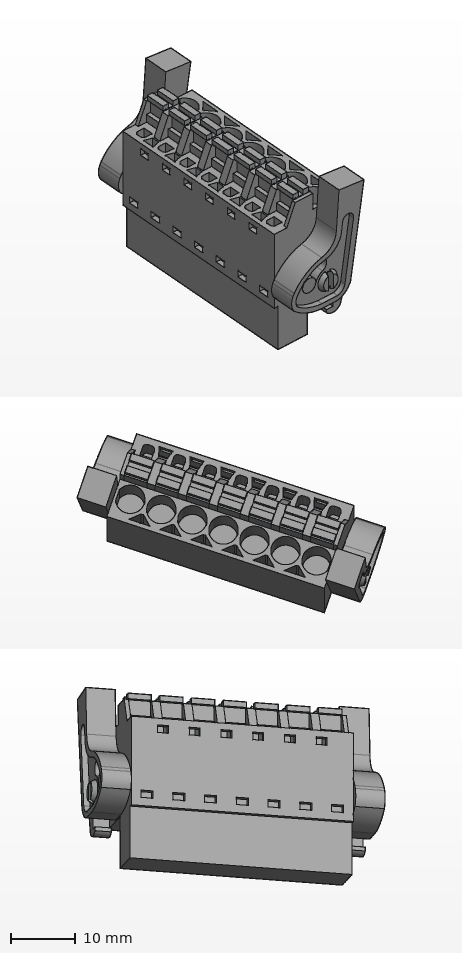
import cadquery as cq
import math


OVERALL_LENGTH = 45.4
POLES = 7
PITCH = 5.1
LEVER_WIDTH = 4.7

HOUSING_LENGTH = POLES * PITCH
HOUSING_END = HOUSING_LENGTH / 2
FRONT_Y = -14.25
HOUSING_BOTTOM = 8.35
REAR_DECK_Z = 23.6
FRONT_DECK_Z = 22.65
RIB_TOP_Z = 26.7
RIB_BACK_Y = -6.3
RIB_CREST_Y = -9.95
RIB_FOOT_Y = -11.65
PLUG_BACK_Y = -7.45
PLUG_FRONT_Y = -13.5

OPENING_DEPTH = 5.45
ROUND_HOLE_RADIUS = 2.25
ROUND_HOLE_Y = -3.75
END_WALL = 0.45
WIRE_WIDTH = 1.9
WIRE_BACK_Y = -11.25
WIRE_FRONT_Y = -13.15
WIRE_CORNER_RADIUS = 0.65

REAR_TAPER_BACK = (-0.7, 1.72)
REAR_TAPER_FRONT = (-2.1, 0.2)
FRONT_TAPER_BACK = (-11.95, 0.7)
FRONT_TAPER_FRONT = (-13.45, 1.15)

LOWER_WINDOW_DEPTH = 0.9
UPPER_WINDOW_DEPTH = 1.15
UPPER_WINDOW_SIZE = (1.72, 1.23)
UPPER_WINDOW_Z = 20.95
LOWER_WINDOW_SIZE = (1.9, 1.2)
LOWER_WINDOW_Z = 10.25

BUTTON_WIDTH = 3.7
BUTTON_TOP_Z = 26.8
PRONG_TOP_Z = 27.73
PRONG_DEPTH = 1.15
PRONG_BACK_YS = (-6.6, -8.65)
LEDGE_Z = 24.15
LEDGE_DEPTH = 0.75

LEVER_INNER_X = OVERALL_LENGTH / 2 - LEVER_WIDTH
LEVER_OUTER_X = OVERALL_LENGTH / 2
POCKET_DEPTH = 1.0
PIVOT_Y = -6.7
PIVOT_Z = 12.3
PIVOT_RADIUS = 1.55
STUD_HEAD_RADIUS = 1.95
STUD_TIP_RADIUS = 1.5
STUD_HEAD_HEIGHT = 0.8
SCREW_SLOT_WIDTH = 1.0
SCREW_SLOT_DEPTH = 1.35
GUIDE_PIN_Y = -10.5
GUIDE_PIN_Z = 13.1
GUIDE_PIN_RADIUS = 1.35
GUIDE_PIN_TIP_X = LEVER_OUTER_X - POCKET_DEPTH
GUIDE_SLOT_SWEEP = 54.0
HOOK_WIDTH = 2.65
HOOK_INNER_X = 19.0

POLE_XS = [(i - (POLES - 1) / 2) * PITCH for i in range(POLES)]
GAP_XS = [x + PITCH / 2 for x in POLE_XS[:-1]]


def box(x_range, y_range, z_range):
    """Box spanning the given low and high values along each axis."""
    (x0, x1), (y0, y1), (z0, z1) = x_range, y_range, z_range
    return cq.Workplane("XY").box(x1 - x0, y1 - y0, z1 - z0, centered=False).translate((x0, y0, z0))


def side_sketch(x):
    """Workplane across X whose local axes are global Y and Z."""
    return cq.Workplane("YZ", origin=(x, 0, 0))


def make_button(x):
    half = BUTTON_WIDTH / 2
    profile = [
        (RIB_BACK_Y, FRONT_DECK_Z),
        (RIB_BACK_Y, BUTTON_TOP_Z),
        (RIB_CREST_Y + LEDGE_DEPTH, BUTTON_TOP_Z),
        (RIB_CREST_Y + LEDGE_DEPTH, LEDGE_Z),
        (RIB_CREST_Y, LEDGE_Z),
        (RIB_CREST_Y, FRONT_DECK_Z),
    ]
    button = side_sketch(x - half).polyline(profile).close().extrude(BUTTON_WIDTH)
    for back in PRONG_BACK_YS:
        prong = box((x - half, x + half), (back - PRONG_DEPTH, back), (BUTTON_TOP_Z, PRONG_TOP_Z))
        button = button.union(prong)
    return button


def housing_shell():
    """Stepped body with a full-length rib block on top and the plug block below."""
    profile = [
        (0, HOUSING_BOTTOM),
        (0, REAR_DECK_Z),
        (RIB_BACK_Y, REAR_DECK_Z),
        (RIB_BACK_Y, RIB_TOP_Z),
        (RIB_CREST_Y, RIB_TOP_Z),
        (RIB_FOOT_Y, FRONT_DECK_Z),
        (FRONT_Y, FRONT_DECK_Z),
        (FRONT_Y, HOUSING_BOTTOM),
    ]
    shell = side_sketch(-HOUSING_END).polyline(profile).close().extrude(HOUSING_LENGTH)
    plug = box((-HOUSING_END, HOUSING_END), (PLUG_FRONT_Y, PLUG_BACK_Y), (0, HOUSING_BOTTOM))
    return shell.union(plug)


def button_slot(x):
    """Gap between neighbouring ribs, down to the front deck, that holds one button."""
    half = BUTTON_WIDTH / 2
    return box((x - half, x + half), (RIB_FOOT_Y, RIB_BACK_Y), (FRONT_DECK_Z, RIB_TOP_Z))


def round_hole(x):
    """Round opening, flattened where it would break into the end wall."""
    floor = REAR_DECK_Z - OPENING_DEPTH
    hole = (
        cq.Workplane("XY", origin=(x, ROUND_HOLE_Y, floor))
        .circle(ROUND_HOLE_RADIUS)
        .extrude(OPENING_DEPTH)
    )
    limit = HOUSING_END - END_WALL
    return hole.intersect(box((-limit, limit), (FRONT_Y, 0), (floor, REAR_DECK_Z)))


def wire_entry(x):
    """Square opening with its two front corners rounded."""
    half = WIRE_WIDTH / 2
    opening = box(
        (x - half, x + half),
        (WIRE_FRONT_Y, WIRE_BACK_Y),
        (FRONT_DECK_Z - OPENING_DEPTH, FRONT_DECK_Z),
    )
    return opening.edges("|Z and <Y").fillet(WIRE_CORNER_RADIUS)


def tapered_opening(x, top_z, back, front):
    """Opening whose plan is a symmetric trapezoid."""
    back_y, back_half = back
    front_y, front_half = front
    outline = [(-back_half, back_y), (back_half, back_y), (front_half, front_y), (-front_half, front_y)]
    return (
        cq.Workplane("XY", origin=(x, 0, top_z - OPENING_DEPTH))
        .polyline(outline)
        .close()
        .extrude(OPENING_DEPTH)
    )


def window(x, z, size, depth):
    width, height = size
    return box(
        (x - width / 2, x + width / 2),
        (FRONT_Y, FRONT_Y + depth),
        (z - height / 2, z + height / 2),
    )


def pivot_stud():
    """Bearing stud whose tapered, slotted head rests on the pocket floor of the +X lever."""
    head_x = LEVER_OUTER_X - POCKET_DEPTH
    tip_x = head_x + STUD_HEAD_HEIGHT
    shaft = (
        side_sketch(HOUSING_END)
        .center(PIVOT_Y, PIVOT_Z)
        .circle(PIVOT_RADIUS)
        .extrude(head_x - HOUSING_END)
    )
    head = (
        side_sketch(head_x)
        .center(PIVOT_Y, PIVOT_Z)
        .circle(STUD_HEAD_RADIUS)
        .workplane(offset=STUD_HEAD_HEIGHT)
        .circle(STUD_TIP_RADIUS)
        .loft()
    )
    slot = box(
        (tip_x - SCREW_SLOT_DEPTH, tip_x),
        (PIVOT_Y - SCREW_SLOT_WIDTH / 2, PIVOT_Y + SCREW_SLOT_WIDTH / 2),
        (PIVOT_Z - STUD_HEAD_RADIUS, PIVOT_Z + STUD_HEAD_RADIUS),
    )
    return shaft.union(head).cut(slot)


def guide_pin():
    """Pin that runs in the curved slot of the lever, on the +X end."""
    return (
        side_sketch(HOUSING_END)
        .center(GUIDE_PIN_Y, GUIDE_PIN_Z)
        .circle(GUIDE_PIN_RADIUS)
        .extrude(GUIDE_PIN_TIP_X - HOUSING_END)
    )


def rear_latch():
    """Barbed arm hanging from the housing bottom behind the plug block."""
    return (
        side_sketch(-HOOK_WIDTH / 2)
        .moveTo(-4.55, HOUSING_BOTTOM)
        .lineTo(-6.3, HOUSING_BOTTOM)
        .lineTo(-5.75, 6.65)
        .lineTo(-5.85, 5.35)
        .lineTo(-6.3, 4.75)
        .lineTo(-5.9, 3.85)
        .lineTo(-5.1, 4.75)
        .lineTo(-4.7, 5.6)
        .close()
        .extrude(HOOK_WIDTH)
    )


def make_housing():
    housing = housing_shell()
    for x in POLE_XS:
        housing = housing.cut(button_slot(x)).cut(round_hole(x)).cut(wire_entry(x))
        housing = housing.cut(window(x, LOWER_WINDOW_Z, LOWER_WINDOW_SIZE, LOWER_WINDOW_DEPTH))
    for x in GAP_XS:
        housing = housing.cut(tapered_opening(x, REAR_DECK_Z, REAR_TAPER_BACK, REAR_TAPER_FRONT))
        housing = housing.cut(tapered_opening(x, FRONT_DECK_Z, FRONT_TAPER_BACK, FRONT_TAPER_FRONT))
        housing = housing.cut(window(x, UPPER_WINDOW_Z, UPPER_WINDOW_SIZE, UPPER_WINDOW_DEPTH))
    for bearing in (pivot_stud(), guide_pin()):
        housing = housing.union(bearing).union(bearing.mirror("YZ"))
    return housing.union(rear_latch())


def lever_plate():
    """Tapered handle that curves out into a rounded nose around the pivot."""
    return (
        side_sketch(LEVER_INNER_X)
        .moveTo(-0.05, 29.0)
        .lineTo(-5.2, 29.55)
        .lineTo(-5.75, 21.85)
        .threePointArc((-6.9, 19.3), (-8.8, 18.25))
        .threePointArc((-11.95, 16.75), (-14.45, 14.1))
        .lineTo(-14.7, 13.55)
        .threePointArc((-14.98, 12.2), (-14.5, 10.7))
        .threePointArc((-11.9, 9.05), (-8.85, HOUSING_BOTTOM))
        .lineTo(-5.55, HOUSING_BOTTOM)
        .threePointArc((-3.9, 9.15), (-2.8, 10.75))
        .close()
        .extrude(LEVER_WIDTH)
    )


def lever_pocket():
    """Recess in the outer face that leaves a rim along the lever outline."""
    return (
        side_sketch(LEVER_OUTER_X - POCKET_DEPTH)
        .moveTo(-2.22, 22.7)
        .threePointArc((-3.35, 24.0), (-4.5, 22.9))
        .lineTo(-4.67, 21.35)
        .threePointArc((-5.55, 19.1), (-7.9, 17.45))
        .threePointArc((-11.3, 16.05), (-13.7, 13.4))
        .threePointArc((-14.05, 12.15), (-13.52, 10.95))
        .threePointArc((-11.25, 9.8), (-8.7, 9.3))
        .lineTo(-5.55, 9.3)
        .threePointArc((-4.55, 9.8), (-4.0, 10.75))
        .close()
        .extrude(POCKET_DEPTH)
    )


def guide_slot():
    """Slot through the lever, curved about the pivot, with the guide pin at one end."""
    dy = GUIDE_PIN_Y - PIVOT_Y
    dz = GUIDE_PIN_Z - PIVOT_Z
    path_radius = math.hypot(dy, dz)
    start = math.degrees(math.atan2(dz, dy))

    def at(radius, turn):
        angle = math.radians(start - turn)
        return (PIVOT_Y + radius * math.cos(angle), PIVOT_Z + radius * math.sin(angle))

    outer = path_radius + GUIDE_PIN_RADIUS
    inner = path_radius - GUIDE_PIN_RADIUS
    cap_radius = math.hypot(path_radius, GUIDE_PIN_RADIUS)
    cap = math.degrees(math.atan2(GUIDE_PIN_RADIUS, path_radius))
    return (
        side_sketch(LEVER_INNER_X)
        .moveTo(*at(inner, 0))
        .threePointArc(at(inner, GUIDE_SLOT_SWEEP / 2), at(inner, GUIDE_SLOT_SWEEP))
        .threePointArc(at(cap_radius, GUIDE_SLOT_SWEEP + cap), at(outer, GUIDE_SLOT_SWEEP))
        .threePointArc(at(outer, GUIDE_SLOT_SWEEP / 2), at(outer, 0))
        .threePointArc(at(cap_radius, -cap), at(inner, 0))
        .close()
        .extrude(LEVER_WIDTH)
    )


def lever_hook():
    """Claw below the plate, narrower than the lever, that points towards the front."""
    return (
        side_sketch(HOOK_INNER_X)
        .moveTo(-3.1, 10.15)
        .lineTo(-3.5, 8.25)
        .lineTo(-4.0, 6.4)
        .threePointArc((-5.2, 5.5), (-6.85, 6.0))
        .lineTo(-6.85, 6.63)
        .lineTo(-5.55, 6.63)
        .lineTo(-5.55, 10.15)
        .close()
        .extrude(HOOK_WIDTH)
    )


def make_lever():
    pivot_hole = (
        side_sketch(LEVER_INNER_X)
        .center(PIVOT_Y, PIVOT_Z)
        .circle(PIVOT_RADIUS)
        .extrude(LEVER_WIDTH)
    )
    lever = lever_plate().union(lever_hook())
    return lever.cut(lever_pocket()).cut(guide_slot()).cut(pivot_hole)


housing = make_housing()
buttons = [make_button(x) for x in POLE_XS]
lever = make_lever()
levers = [lever, lever.mirror("YZ")]

result = cq.Compound.makeCompound([housing.val(), *[b.val() for b in buttons], *[v.val() for v in levers]])